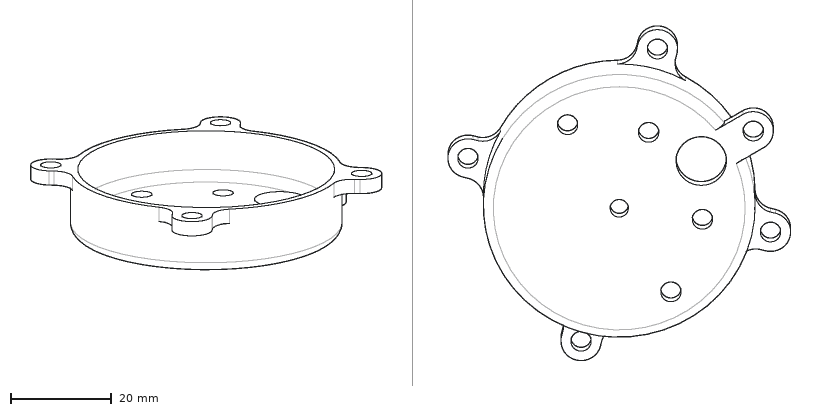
import cadquery as cq
import math

outer_diameter = 54.0
inner_diameter = 51.0
height = 13.0
floor_thickness = 3.0
outer_edge_radius = 2.0
inner_edge_radius = 2.0

ear_width = 8.0
ear_radius = ear_width / 2
ear_thickness = 3.0
ear_hole_distance = 31.0
ear_hole_diameter = 4.0
ear_blend_radius = 4.0
rim_ear_angles = (45, 135, 225, 315)
overall_length = 62.0
base_ear_tip = overall_length - outer_diameter / 2
base_ear_hole_distance = base_ear_tip - ear_radius

center_hole_diameter = 3.6
cable_hole_diameter = 10.0
cable_hole_distance = 19.0
side_hole_diameter = 4.0
side_hole_distance = 20.0
rear_hole_diameter = 4.0
rear_hole_x = 10.4
rear_hole_y = 13.0

outer_radius = outer_diameter / 2


def cup_body():
    """Round tub blank with a rounded bottom edge."""
    body = cq.Workplane("XY").circle(outer_radius).extrude(height)
    return body.faces("<Z").edges().fillet(outer_edge_radius)


def cavity():
    """Open space inside the cup, rounded where the wall meets the floor."""
    space = (
        cq.Workplane("XY")
        .workplane(offset=floor_thickness)
        .circle(inner_diameter / 2)
        .extrude(height - floor_thickness)
    )
    return space.faces("<Z").edges().fillet(inner_edge_radius)


def rim_ear():
    """Round-ended ear along +X, with concave blends into the cup wall."""
    blend_y = ear_radius + ear_blend_radius
    blend_center_distance = outer_radius + ear_blend_radius
    blend_x = math.sqrt(blend_center_distance**2 - blend_y**2)

    wall_angle = math.atan2(blend_y, blend_x)
    wall_x = outer_radius * math.cos(wall_angle)
    wall_y = outer_radius * math.sin(wall_angle)
    middle_angle = (wall_angle + math.pi / 2) / 2
    middle_x = blend_x - ear_blend_radius * math.cos(middle_angle)
    middle_y = blend_y - ear_blend_radius * math.sin(middle_angle)

    return (
        cq.Workplane("XY")
        .workplane(offset=height - ear_thickness)
        .lineTo(wall_x, -wall_y)
        .threePointArc((middle_x, -middle_y), (blend_x, -ear_radius))
        .lineTo(ear_hole_distance, -ear_radius)
        .threePointArc((ear_hole_distance + ear_radius, 0), (ear_hole_distance, ear_radius))
        .lineTo(blend_x, ear_radius)
        .threePointArc((middle_x, middle_y), (wall_x, wall_y))
        .close()
        .extrude(ear_thickness)
    )


def base_ear():
    """Round-ended ear along +Y, level with the underside of the floor."""
    strip = (
        cq.Workplane("XY")
        .center(0, base_ear_hole_distance / 2)
        .rect(ear_width, base_ear_hole_distance)
        .extrude(ear_thickness)
    )
    tip = cq.Workplane("XY").center(0, base_ear_hole_distance).circle(ear_radius).extrude(ear_thickness)
    return strip.union(tip)


def through_holes(points, diameter):
    """Vertical cutters through the full height of the part."""
    return cq.Workplane("XY").pushPoints(points).circle(diameter / 2).extrude(height)


result = cup_body().union(base_ear())
for angle in rim_ear_angles:
    result = result.union(rim_ear().rotate((0, 0, 0), (0, 0, 1), angle))
result = result.cut(cavity())

ear_hole_points = [(0, base_ear_hole_distance)]
for angle in rim_ear_angles:
    direction = math.radians(angle)
    ear_hole_points.append(
        (ear_hole_distance * math.cos(direction), ear_hole_distance * math.sin(direction))
    )
result = result.cut(through_holes(ear_hole_points, ear_hole_diameter))

side_hole_points = [(-side_hole_distance, 0), (side_hole_distance, 0)]
rear_hole_points = [(-rear_hole_x, rear_hole_y), (rear_hole_x, rear_hole_y)]
result = result.cut(through_holes([(0, 0)], center_hole_diameter))
result = result.cut(through_holes([(0, cable_hole_distance)], cable_hole_diameter))
result = result.cut(through_holes(side_hole_points, side_hole_diameter))
result = result.cut(through_holes(rear_hole_points, rear_hole_diameter))